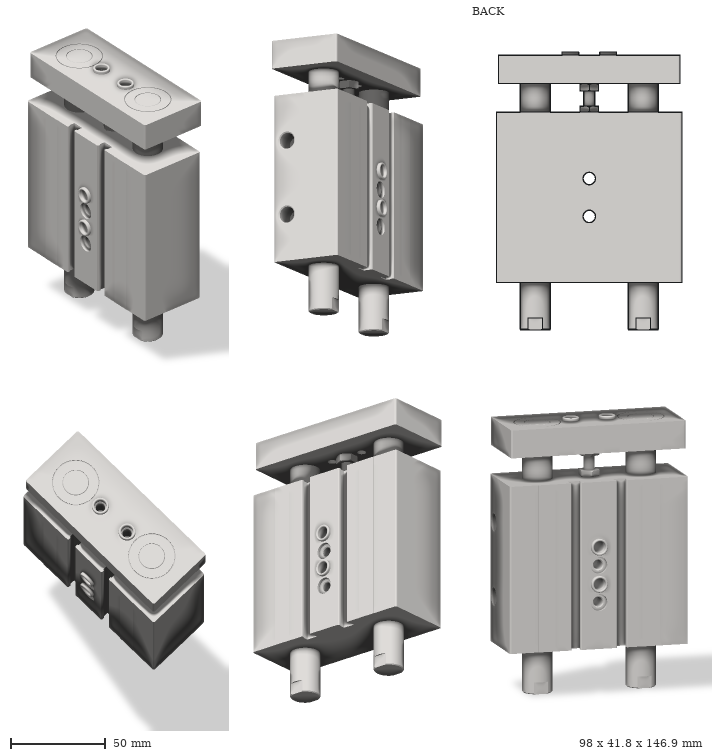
import cadquery as cq
import math


housing_width = 98.0
housing_depth = 38.0
housing_height = 90.0
housing_corner = 1.2
housing_front = -housing_depth / 2

land_recess = 0.1
centre_pad_half_width = 9.5
side_pad_inner = 23.9
side_pad_outer = 33.5

slot_offset = 12.55
slot_neck_width = 5.1
slot_lip_chamfer = 0.5
slot_neck_depth = 1.8
slot_inner_width = 6.4
slot_depth = 5.2

port_diameter = 8.57
port_mouth_diameter = 9.73
port_drill_depth = 12.0
port_y = 11.4
port_heights = (25.0, 65.0)

rod_spacing = 57.0
rod_diameter = 16.0
rod_bottom = -25.0
rod_end_chamfer = 0.5
rod_flats_across = 14.0
rod_flats_height = 6.5
rod_journal_diameter = 14.0
rod_journal_chamfer = 0.4
rod_positions = [(-rod_spacing / 2, 0), (rod_spacing / 2, 0)]

barrel_diameter = 32.0
barrel_bottom = 26.9
barrel_top = 60.0

plate_width = 96.0
plate_depth = 39.0
plate_thickness = 15.0
plate_back = 21.0
plate_corner = 1.0
plate_gap = 15.1
plate_bottom = housing_height + plate_gap
plate_top = plate_bottom + plate_thickness
groove_outer_diameter = 25.0
groove_inner_diameter = 24.0
groove_depth = 0.5

piston_diameter = 6.0
nut_across_flats = 10.0
nut_height = 4.0
nut_chamfer = 0.5
collar_height = 3.2

sleeve_diameter = 9.0
sleeve_bore = 6.4
sleeve_length = 3.5
sleeve_protrusion = 1.8
seat_depth = sleeve_length - sleeve_protrusion
through_hole_diameter = sleeve_bore
thread_diameter = 4.92
thread_mouth_diameter = 6.0
thread_depth = 10.0
drill_point_angle = 118.0
plate_sleeve_positions = [(-10.0, 0), (10.0, 0)]
sleeved_hole_heights = (35.0, 55.0)
threaded_hole_heights = (25.0, 45.0)


def revolve_profile(points):
    """Solid of revolution about Z from (radius, height) points."""
    return cq.Workplane("XZ").polyline(points).close().revolve(360, (0, 0, 0), (0, 1, 0))


def cone_height(diameter):
    return diameter / 2 / math.tan(math.radians(drill_point_angle / 2))


def drill(diameter, mouth_diameter, depth):
    """Blind drilled hole with a 45 degree mouth, opening at z = 0 and running to -Z."""
    radius = diameter / 2
    mouth_radius = mouth_diameter / 2
    return revolve_profile([
        (0, 0),
        (mouth_radius, 0),
        (radius, radius - mouth_radius),
        (radius, -depth),
        (0, -depth - cone_height(diameter)),
    ])


def disc(diameter, bottom, top):
    return cq.Workplane("XY").workplane(offset=bottom).circle(diameter / 2).extrude(top - bottom)


def onto_front(shape, height):
    """Turn a shape made about +Z to face -Y and set it on the housing front."""
    return shape.rotate((0, 0, 0), (1, 0, 0), 90).translate((0, housing_front, height))


def sleeve():
    """Centring sleeve with a rounded tip; z = 0 is the face that it stands out of."""
    outer = sleeve_diameter / 2
    inner = sleeve_bore / 2
    middle = (outer + inner) / 2
    rounding_start = sleeve_protrusion - (outer - inner) / 2
    return (
        cq.Workplane("XZ")
        .moveTo(inner, -seat_depth)
        .lineTo(outer, -seat_depth)
        .lineTo(outer, rounding_start)
        .threePointArc((middle, sleeve_protrusion), (inner, rounding_start))
        .close()
        .revolve(360, (0, 0, 0), (0, 1, 0))
    )


def front_land(x_start, x_end):
    """Shallow full-height recess of the housing front."""
    return cq.Workplane("XY").box(
        x_end - x_start, land_recess, housing_height, centered=False
    ).translate((x_start, housing_front, 0))


def sensor_slot(x):
    """Full-height slot with chamfered lips and a wider inside."""
    neck = slot_neck_width / 2
    inner = slot_inner_width / 2
    mouth = neck + slot_lip_chamfer
    front = housing_front
    half = [
        (mouth, front),
        (mouth, front + land_recess),
        (neck, front + land_recess + slot_lip_chamfer),
        (neck, front + slot_neck_depth),
        (inner, front + slot_neck_depth),
        (inner, front + slot_depth),
    ]
    mirrored = [(-px, py) for px, py in reversed(half)]
    return cq.Workplane("XY").polyline(half + mirrored).close().extrude(housing_height).translate((x, 0, 0))


def make_housing():
    body = cq.Workplane("XY").box(
        housing_width, housing_depth, housing_height, centered=(True, True, False)
    ).edges("|Z").fillet(housing_corner)

    for side in (-1, 1):
        outer = sorted((side * side_pad_outer, side * housing_width / 2))
        inner = sorted((side * centre_pad_half_width, side * side_pad_inner))
        body = body.cut(front_land(*outer)).cut(front_land(*inner))
        body = body.cut(sensor_slot(side * slot_offset))

    for x, y in rod_positions:
        body = body.cut(disc(rod_diameter, 0, housing_height).translate((x, y, 0)))

    port = drill(port_diameter, port_mouth_diameter, port_drill_depth).rotate((0, 0, 0), (0, 1, 0), -90)
    barrel = disc(barrel_diameter, barrel_bottom, barrel_top).translate((-rod_spacing / 2, 0, 0))
    for height in port_heights:
        placed_port = port.translate((-housing_width / 2, port_y, height))
        body = body.cut(placed_port.cut(barrel))

    seat = disc(sleeve_diameter, -seat_depth, 0)
    through_hole = disc(through_hole_diameter, -housing_depth, 0)
    for height in sleeved_hole_heights:
        body = body.cut(onto_front(seat, height)).cut(onto_front(through_hole, height))

    threaded_hole = drill(thread_diameter, thread_mouth_diameter, thread_depth).translate((0, 0, -seat_depth))
    for height in threaded_hole_heights:
        body = body.cut(onto_front(seat, height)).cut(onto_front(threaded_hole, height))
    return body


def hex_nut(bottom, height):
    """Hexagon with chamfered corners and one pair of flats facing +X and -X."""
    across_corners = nut_across_flats / math.cos(math.radians(30))
    prism = cq.Workplane("XY").polygon(6, across_corners).extrude(height)
    prism = prism.rotate((0, 0, 0), (0, 0, 1), 30).translate((0, 0, bottom))
    envelope = disc(across_corners, bottom, bottom + height)
    return prism.intersect(envelope.edges().chamfer(nut_chamfer))


def make_yoke_plate():
    plate = cq.Workplane("XY").box(plate_width, plate_depth, plate_thickness, centered=(True, False, False))
    plate = plate.edges("|Z").fillet(plate_corner)
    plate = plate.translate((0, plate_back - plate_depth, plate_bottom))

    groove = disc(groove_outer_diameter, plate_top - groove_depth, plate_top)
    groove = groove.cut(disc(groove_inner_diameter, plate_top - groove_depth, plate_top))
    journal_bore = disc(rod_journal_diameter, plate_bottom, plate_top)
    for x, y in rod_positions:
        plate = plate.cut(journal_bore.translate((x, y, 0))).cut(groove.translate((x, y, 0)))

    seat = disc(sleeve_diameter, plate_top - seat_depth, plate_top)
    threaded_hole = drill(thread_diameter, thread_mouth_diameter, plate_thickness)
    threaded_hole = threaded_hole.translate((0, 0, plate_top - seat_depth))
    for x, y in plate_sleeve_positions:
        plate = plate.cut(seat.translate((x, y, 0))).cut(threaded_hole.translate((x, y, 0)))

    lock_nut = hex_nut(plate_bottom - nut_height, nut_height)
    collar = hex_nut(housing_height, collar_height)
    piston_rod = disc(piston_diameter, housing_height, plate_bottom)
    return plate.union(piston_rod).union(lock_nut).union(collar)


def make_guide_rod(x, y):
    rod = disc(rod_diameter, rod_bottom, plate_bottom).faces("<Z").chamfer(rod_end_chamfer)
    flats = cq.Workplane("XY").box(
        rod_diameter, rod_flats_across, rod_flats_height, centered=(True, True, False)
    ).translate((0, 0, rod_bottom))
    shaft = disc(rod_diameter, rod_bottom + rod_flats_height, plate_bottom)
    rod = rod.intersect(flats.union(shaft))
    journal = disc(rod_journal_diameter, plate_bottom, plate_top).faces(">Z").chamfer(rod_journal_chamfer)
    return rod.union(journal).translate((x, y, 0))


housing = make_housing()
yoke_plate = make_yoke_plate()
guide_rods = [make_guide_rod(x, y) for x, y in rod_positions]
plate_sleeves = [sleeve().translate((x, y, plate_top)) for x, y in plate_sleeve_positions]
housing_sleeves = [onto_front(sleeve(), height) for height in sleeved_hole_heights]

bodies = [housing, yoke_plate, *guide_rods, *plate_sleeves, *housing_sleeves]
result = cq.Compound.makeCompound([body.val() for body in bodies])